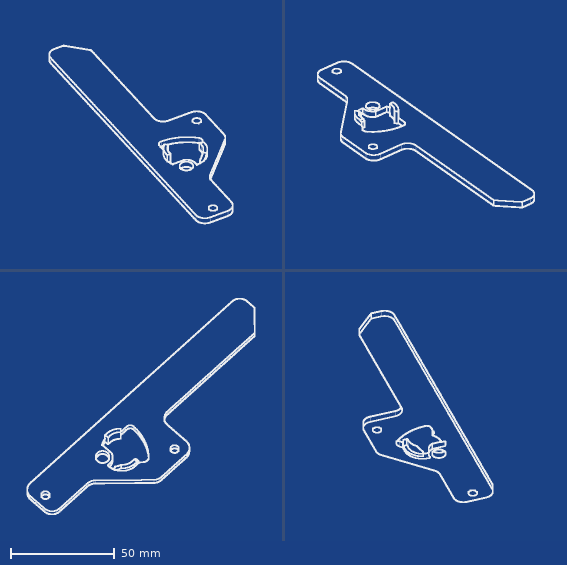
import cadquery as cq
import math

length = 150.0
bar_height = 20.0
full_height = 43.0
plate_thickness = 3.3
corner_radius = 5.1
tab_left = 75.5
slope_foot = 123.3
slope_top = slope_foot - (full_height - bar_height)
nose_size = 9.8

small_hole_radius = 2.1
small_hole_centers = [(82.5, 36.9), (144.5, 9.9)]
pivot = (110.1, 15.0)
pivot_radius = 3.3
pivot_rim_radius = 5.0

arc_radius = 9.2
upper_center = (102.5, 20.7)
lower_center = (101.0, 18.0)
window_left = 87.6
window_floor = 11.7
window_corner = 2.2
lower_arc_start = 228
floor_setback = 0.5
window_right = 105.5
apex = (96.3, 31.8)
apex_right = (98.2, 31.0)
apex_left = (94.4, 31.0)
shoulder_x = 99.6
left_bow = (90.6, 25.8)
rib_width = 2.0
upper_rib_top = 6.0
lower_rib_top = 7.0
upper_rib_bottom = 1.5
upper_rib_angles = (17, 90)
upper_end_run = 2.2
ramp_start = (108.5, 26.1)
ramp_slope = 0.94
lead_in_run = 1.0
lead_in_drop = 0.8
lower_rib_angles = (222, 278)


def on_circle(center, radius, angle):
    """Point on a circle at an angle in degrees from +X."""
    a = math.radians(angle)
    return (center[0] + radius * math.cos(a), center[1] + radius * math.sin(a))


def angle_at_x(center, radius, x):
    """Angle of the upper point of a circle at the given X."""
    return math.degrees(math.acos((x - center[0]) / radius))


def make_plate():
    outline = [
        (0, 0),
        (length, 0),
        (length, bar_height),
        (slope_foot, bar_height),
        (slope_top, full_height),
        (tab_left, full_height),
        (tab_left, bar_height),
        (nose_size, bar_height),
        (0, bar_height - nose_size),
    ]
    plate = cq.Workplane("XY").polyline(outline).close().extrude(plate_thickness)
    nose_points = outline[-2:]
    for x, y in outline:
        if (x, y) not in nose_points:
            edge = cq.selectors.NearestToPointSelector((x, y, plate_thickness / 2))
            plate = plate.edges(edge).fillet(corner_radius)
    holes = (
        cq.Workplane("XY")
        .pushPoints(small_hole_centers)
        .circle(small_hole_radius)
        .extrude(plate_thickness)
    )
    pivot_hole = cq.Workplane("XY").center(*pivot).circle(pivot_radius).extrude(plate_thickness)
    return plate.cut(holes).cut(pivot_hole)


def make_window():
    """Through window, traced counter-clockwise from its lower left corner."""
    lower_start = on_circle(lower_center, arc_radius, lower_arc_start)
    corner_center = (window_left + window_corner, window_floor + window_corner)
    lower_end_angle = 360 - angle_at_x(lower_center, arc_radius, window_right)
    rim_start_angle = angle_at_x(pivot, pivot_rim_radius, window_right)
    return (
        cq.Workplane("XY")
        .moveTo(window_left + window_corner, window_floor)
        .lineTo(lower_start[0] - floor_setback, window_floor)
        .lineTo(*lower_start)
        .threePointArc(
            on_circle(lower_center, arc_radius, 270),
            on_circle(lower_center, arc_radius, lower_end_angle),
        )
        .lineTo(*on_circle(pivot, pivot_rim_radius, rim_start_angle))
        .threePointArc(
            on_circle(pivot, pivot_rim_radius, (rim_start_angle + 90) / 2),
            on_circle(pivot, pivot_rim_radius, 90),
        )
        .lineTo(upper_center[0] + arc_radius, pivot[1] + pivot_rim_radius)
        .lineTo(upper_center[0] + arc_radius, upper_center[1])
        .threePointArc(
            on_circle(upper_center, arc_radius, 45),
            on_circle(upper_center, arc_radius, 90),
        )
        .lineTo(shoulder_x, upper_center[1] + arc_radius)
        .lineTo(*apex_right)
        .threePointArc(apex, apex_left)
        .threePointArc(left_bow, (window_left, window_floor + window_corner))
        .threePointArc(
            on_circle(corner_center, window_corner, 225),
            (window_left + window_corner, window_floor),
        )
        .close()
        .extrude(plate_thickness)
    )


def make_arc_rib(center, start, end, bottom, top):
    """Curved rib hugging the window edge, between two angles."""
    inner = arc_radius - rib_width
    middle = (start + end) / 2
    return (
        cq.Workplane("XY", origin=(0, 0, bottom))
        .moveTo(*on_circle(center, arc_radius, start))
        .threePointArc(on_circle(center, arc_radius, middle), on_circle(center, arc_radius, end))
        .lineTo(*on_circle(center, inner, end))
        .threePointArc(on_circle(center, inner, middle), on_circle(center, inner, start))
        .close()
        .extrude(top - bottom)
    )


def make_upper_rib_end():
    """Straight left end of the upper rib, its top sloping down to the tip."""
    tip = upper_center[0] - upper_end_run
    slope_start = (tip + lead_in_run, upper_rib_top)
    tip_top = (tip, upper_rib_top - lead_in_drop)
    outer_side = upper_center[1] + arc_radius
    return (
        cq.Workplane("XZ", origin=(0, outer_side, 0))
        .moveTo(upper_center[0], upper_rib_bottom)
        .lineTo(upper_center[0], upper_rib_top)
        .lineTo(*slope_start)
        .lineTo(*tip_top)
        .lineTo(tip, upper_rib_bottom)
        .close()
        .extrude(rib_width)
    )


def make_upper_rib():
    rib = make_arc_rib(upper_center, *upper_rib_angles, upper_rib_bottom, upper_rib_top)
    ramp_plane = cq.Plane(origin=(*ramp_start, upper_rib_top), xDir=(1, -1, 0), normal=(-1, -1, 0))
    ramp_drop = upper_rib_top - upper_rib_bottom
    ramp_foot = ramp_slope * ramp_drop
    beyond_rib = ramp_foot + arc_radius
    ramp = (
        cq.Workplane(ramp_plane)
        .polyline([(0, 0), (ramp_foot, -ramp_drop), (beyond_rib, -ramp_drop), (beyond_rib, 0)])
        .close()
        .extrude(arc_radius, both=True)
    )
    return rib.cut(ramp).union(make_upper_rib_end())


lower_rib = make_arc_rib(lower_center, *lower_rib_angles, 0, lower_rib_top)
result = make_plate().cut(make_window()).union(make_upper_rib()).union(lower_rib)